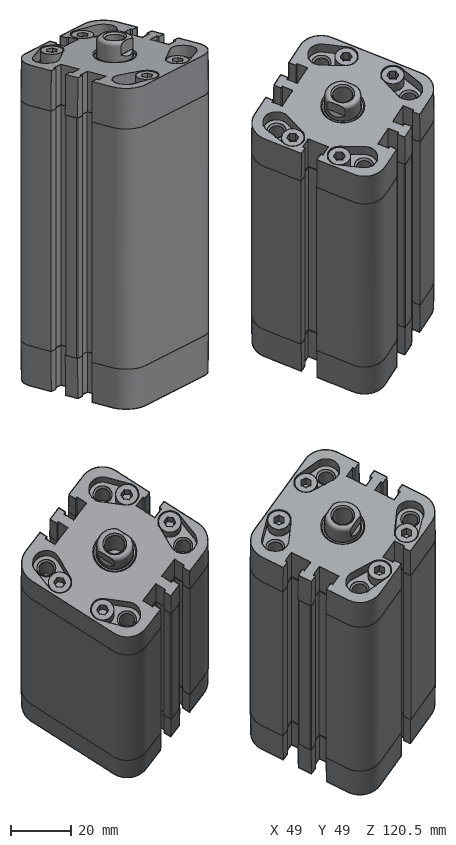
import cadquery as cq
import math

total_height = 120.5
cap_height = 14.3
rod_stickout = 6.4
cap_top = total_height - rod_stickout
barrel_top = cap_top - cap_height

side = 49.0
corner_radius = 8.0
cap_draft = 0.7

mouth_width = 5.8
mouth_depth = 2.9
slot_offset = 5.4
rib_side_reach = 3.7
channel_reach = 3.5
barrel_slot_depth = 6.5
cap_slot_depth = 6.7
cap_channel_reach = 3.7
rib_edge_chamfer = 0.4

rod_diameter = 12.0
flat_width = 10.0
flat_height = 4.3
flat_runout = (rod_diameter - flat_width) / 2
rod_edge_radius = 1.3
rod_bore_diameter = 6.6
rod_bore_rim_diameter = 7.8
rod_bore_depth = 12.0

seat_rim_diameter = 14.6
seat_floor_diameter = 13.7
rod_hole_rim_diameter = 12.5

mount_offset = 16.3
screw_x = 19.4
screw_y = 8.7
pocket_mount_diameter = 9.0
pocket_screw_diameter = 8.0
pocket_depth = 4.2
mount_hole_diameter = 5.0
mount_rim_diameter = 6.3
screw_head_diameter = 7.5
screw_head_height = 4.0
socket_corner_diameter = 3.9
socket_depth = 3.6


def in_each_corner(feature):
    """The +X +Y feature and its mirror images in the other three corners."""
    opposite = feature.mirror("YZ")
    return [feature, opposite, feature.mirror("XZ"), opposite.mirror("XZ")]


def frustum(bottom_diameter, top_diameter, height):
    return cq.Workplane(cq.Solid.makeCone(bottom_diameter / 2, top_diameter / 2, height))


def make_outline():
    return cq.Sketch().rect(side, side).vertices().fillet(corner_radius).reset()


def box_between(x_range, y_range):
    """Cutter as tall as the whole part, between two X and two Y limits."""
    x_size = x_range[1] - x_range[0]
    y_size = y_range[1] - y_range[0]
    box = cq.Workplane().box(x_size, y_size, total_height, centered=False)
    return box.translate((x_range[0], y_range[0], 0))


def cut_slots(block, outer_reach, slot_depth):
    """Cut two T-slots into each of the -Y and +Y sides and one into the -X side.

    outer_reach is how far a channel runs from its mouth centre, away from the rib.
    """
    half_side = side / 2
    lip = half_side - mouth_depth
    floor = half_side - slot_depth
    half_mouth = mouth_width / 2
    mouth = box_between((slot_offset - half_mouth, slot_offset + half_mouth), (lip, half_side))
    channel = box_between((slot_offset - rib_side_reach, slot_offset + outer_reach), (floor, lip))
    for cutter in in_each_corner(mouth) + in_each_corner(channel):
        block = block.cut(cutter)
    side_mouth = box_between((-half_side, -lip), (-half_mouth, half_mouth))
    side_channel = box_between((-lip, -floor), (-outer_reach, outer_reach))
    return block.cut(side_mouth).cut(side_channel)


def make_rib_edge_cutter():
    """Triangular cutter for the outer edge of the +Y rib that faces +X."""
    rib_half_width = slot_offset - mouth_width / 2
    return (
        cq.Workplane()
        .moveTo(rib_half_width, side / 2)
        .lineTo(rib_half_width - rib_edge_chamfer, side / 2)
        .lineTo(rib_half_width, side / 2 - rib_edge_chamfer)
        .close()
        .extrude(total_height)
    )


def make_barrel():
    block = cq.Workplane().placeSketch(make_outline()).extrude(barrel_top - cap_height)
    barrel = cut_slots(block.translate((0, 0, cap_height)), channel_reach, barrel_slot_depth)
    for cutter in in_each_corner(make_rib_edge_cutter()):
        barrel = barrel.cut(cutter)
    return barrel


def make_cap_block():
    """End cap that stands on z = 0; its outer sides lean inward toward its free end."""
    block = cq.Workplane().placeSketch(make_outline()).extrude(cap_height, taper=cap_draft)
    return cut_slots(block, cap_channel_reach, cap_slot_depth)


def make_rear_cap():
    return make_cap_block().mirror("XY").translate((0, 0, cap_height))


def make_pocket():
    """Pocket cutter in the +X +Y corner: two round ends joined by their outer tangents."""
    start = (mount_offset, mount_offset)
    end = (screw_x, screw_y)
    start_radius = pocket_mount_diameter / 2
    end_radius = pocket_screw_diameter / 2
    dx = end[0] - start[0]
    dy = end[1] - start[1]
    axis_angle = math.atan2(dy, dx)
    swing = math.acos((start_radius - end_radius) / math.hypot(dx, dy))

    def rim(centre, radius, angle):
        return (centre[0] + radius * math.cos(angle), centre[1] + radius * math.sin(angle))

    left = axis_angle + swing
    right = axis_angle - swing
    return (
        cq.Workplane()
        .workplane(offset=cap_top - pocket_depth)
        .moveTo(*rim(start, start_radius, left))
        .lineTo(*rim(end, end_radius, left))
        .threePointArc(rim(end, end_radius, axis_angle), rim(end, end_radius, right))
        .lineTo(*rim(start, start_radius, right))
        .threePointArc(rim(start, start_radius, axis_angle + math.pi), rim(start, start_radius, left))
        .close()
        .extrude(pocket_depth)
    )


def make_mount_hole():
    """Through-hole cutter with a countersunk rim at the pocket floor."""
    floor = cap_top - pocket_depth
    sink_depth = (mount_rim_diameter - mount_hole_diameter) / 2
    hole = (
        cq.Workplane()
        .workplane(offset=barrel_top)
        .circle(mount_hole_diameter / 2)
        .extrude(floor - barrel_top)
    )
    sink = frustum(mount_hole_diameter, mount_rim_diameter, sink_depth)
    return hole.union(sink.translate((0, 0, floor - sink_depth))).translate((mount_offset, mount_offset, 0))


def make_screw_head():
    floor = cap_top - pocket_depth
    return (
        cq.Workplane()
        .workplane(offset=floor)
        .circle(screw_head_diameter / 2)
        .extrude(screw_head_height)
        .faces(">Z")
        .workplane()
        .polygon(6, socket_corner_diameter)
        .cutBlind(-socket_depth)
        .translate((screw_x, screw_y, 0))
    )


def make_front_cap():
    cap = make_cap_block().translate((0, 0, barrel_top))
    for cutter in in_each_corner(make_pocket()) + in_each_corner(make_mount_hole()):
        cap = cap.cut(cutter)
    for screw_head in in_each_corner(make_screw_head()):
        cap = cap.union(screw_head)
    rod_hole = cq.Workplane().workplane(offset=barrel_top).circle(rod_diameter / 2).extrude(cap_height)
    seat_depth = (seat_rim_diameter - seat_floor_diameter) / 2
    seat_floor = cap_top - seat_depth
    seat = frustum(seat_floor_diameter, seat_rim_diameter, seat_depth).translate((0, 0, seat_floor))
    chamfer_depth = (rod_hole_rim_diameter - rod_diameter) / 2
    chamfer = frustum(rod_diameter, rod_hole_rim_diameter, chamfer_depth)
    return cap.cut(rod_hole).cut(seat).cut(chamfer.translate((0, 0, seat_floor - chamfer_depth)))


def make_rod():
    rod = (
        cq.Workplane()
        .workplane(offset=barrel_top)
        .circle(rod_diameter / 2)
        .extrude(total_height - barrel_top)
        .faces(">Z")
        .fillet(rod_edge_radius)
    )

    bore = (
        cq.Workplane()
        .workplane(offset=total_height - rod_bore_depth)
        .circle(rod_bore_diameter / 2)
        .extrude(rod_bore_depth)
    )
    sink_depth = (rod_bore_rim_diameter - rod_bore_diameter) / 2
    sink = frustum(rod_bore_diameter, rod_bore_rim_diameter, sink_depth)
    rod = rod.cut(bore).cut(sink.translate((0, 0, total_height - sink_depth)))

    flat_bottom = total_height - flat_height
    flat_cutter = (
        cq.Workplane("XZ")
        .moveTo(flat_width / 2, total_height)
        .lineTo(flat_width / 2, flat_bottom)
        .lineTo(flat_width / 2 + flat_runout, flat_bottom - flat_runout)
        .lineTo(flat_width / 2 + flat_runout, total_height)
        .close()
        .extrude(rod_diameter / 2, both=True)
    )
    return rod.cut(flat_cutter).cut(flat_cutter.mirror("YZ"))


barrel = make_barrel()
rear_cap = make_rear_cap()
front_cap = make_front_cap()
rod = make_rod()

result = cq.Compound.makeCompound([barrel.val(), rear_cap.val(), front_cap.val(), rod.val()])